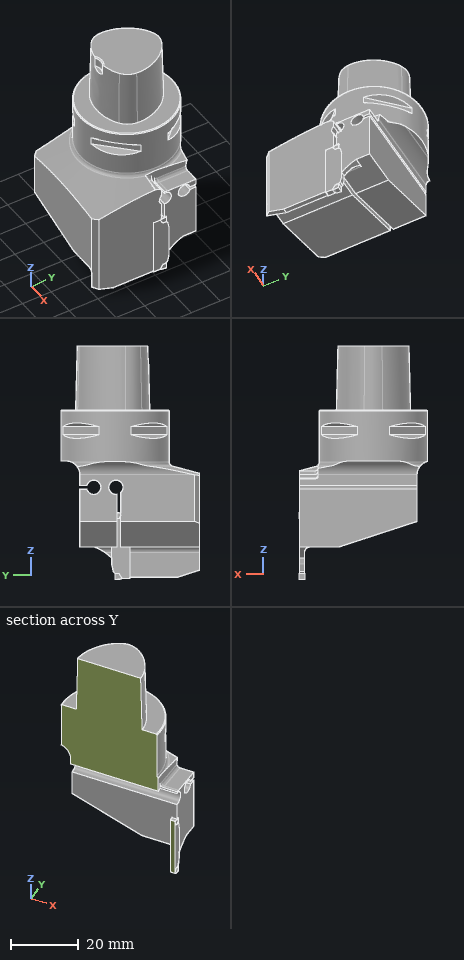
import cadquery as cq
import math


shank_height = 19.0
shank_radius = 11.0
shank_lobe = 0.7
shank_taper = 1 / 40
lobe_half_angle = 24
points_per_stretch = 7
notch_radius = 3.8
notch_axis_y = -12.8
notch_depth = 3.4
notch_chamfer = 0.35

flange_radius = 32.0 / 2
flange_bottom = -15.05
flange_chamfer = 0.3
grip_floor_distance = 14.15
grip_floor_width = 2.35
grip_mouth_width = 4.55
grip_center = -6.1

head_left = -12.9
head_right = 21.9
head_front = -25.0
head_back = 10.4
head_bottom = -40.4
head_chamfer = 1.5
bevel_left = -32.85
bevel_end_x = 10.3
flare_radius = 4.0
roof_angle = 15
roof_apex = -11.95
head_reach = 34.5
neck_fillet = 1.2

blade_thickness = 1.6
blade_left = head_right - blade_thickness
blade_bottom = -49.35
blade_root_fillet = 1.5
blade_front_bottom = -47.2
blade_bevel_y = -18.4
blade_back_start = 5.9
blade_back_middle = (4.3, -41.2)
blade_back_end = -43.6

clamp_hole_radius = 2.1
clamp_hole_z = -22.8
back_hole_y = 6.3
front_hole_y = -0.3
slit_width = 1.05
slit_front = -1.65
slit_back = slit_front + slit_width

relief_left = 16.3
relief_floor = -20.3
relief_edge = -17.95
relief_front = -3.7
relief_foot = 0.5
relief_side_fillet = 1.0

insert_back = 1.05
insert_front = -4.35
insert_bottom = shank_height - 69
insert_length = 19.9
insert_middle = insert_bottom + insert_length / 2
rake_start = 4.6
rake_end = 2.4
tip_height = 1.85
body_end = 0.35
tip_end = 0.15
rake_end_y = 0.55
edge_y = 0.1
tip_side_y = -1.2
tip_front_y = -2.1
tip_end_y = -1.5
tip_overhang = 0.15


def box(x_range, y_range, z_range):
    """Axis-aligned box between two limits on each axis."""
    size = [high - low for low, high in (x_range, y_range, z_range)]
    return cq.Workplane("XY").box(*size, centered=False).translate((x_range[0], y_range[0], z_range[0]))


def shank_point(angle, radius):
    """Point of the three-lobed outline whose outward normal has this angle in degrees."""
    a = math.radians(angle)
    reach = radius + shank_lobe * math.cos(3 * (a - math.pi / 2))
    slope = -3 * shank_lobe * math.sin(3 * (a - math.pi / 2))
    return reach * math.cos(a) - slope * math.sin(a), reach * math.sin(a) + slope * math.cos(a)


def shank_outline(radius, z):
    """Closed wire of three lobes and three flanks."""
    edges = []
    for lobe in (90, 210, 330):
        limits = (lobe - lobe_half_angle, lobe + lobe_half_angle, lobe + 120 - lobe_half_angle)
        for start, end in zip(limits, limits[1:]):
            step = (end - start) / (points_per_stretch - 1)
            angles = [start + i * step for i in range(points_per_stretch)]
            points = [cq.Vector(*shank_point(angle, radius), z) for angle in angles]
            tangents = [
                cq.Vector(-math.sin(math.radians(angle)), math.cos(math.radians(angle)))
                for angle in (start, end)
            ]
            edges.append(cq.Edge.makeSpline(points, tangents=tangents))
    return cq.Wire.assembleEdges(edges)


def make_shank():
    top_radius = shank_radius - shank_height * shank_taper
    outlines = [shank_outline(shank_radius, 0), shank_outline(top_radius, shank_height)]
    shank = cq.Workplane(cq.Solid.makeLoft(outlines, True))
    rim_z = shank_height - notch_depth
    notch = (
        cq.Workplane("XZ")
        .polyline([
            (0, rim_z - notch_radius),
            (notch_radius, rim_z),
            (notch_radius, shank_height - notch_chamfer),
            (notch_radius + notch_chamfer, shank_height),
            (0, shank_height),
        ])
        .close()
        .revolve(360, (0, 0), (0, 1))
        .translate((0, notch_axis_y, 0))
    )
    return shank.cut(notch)


def make_flange():
    flange = (
        cq.Workplane("XY")
        .workplane(offset=flange_bottom)
        .circle(flange_radius)
        .extrude(-flange_bottom)
        .faces(">Z")
        .chamfer(flange_chamfer)
    )
    groove = (
        cq.Workplane("XZ")
        .polyline([
            (grip_floor_distance, grip_center - grip_floor_width / 2),
            (flange_radius, grip_center - grip_mouth_width / 2),
            (flange_radius, grip_center + grip_mouth_width / 2),
            (grip_floor_distance, grip_center + grip_floor_width / 2),
        ])
        .close()
        .extrude(flange_radius, both=True)
    )
    for angle in (45, 135, 225, 315):
        flange = flange.cut(groove.rotate((0, 0, 0), (0, 0, 1), angle))
    return flange


def make_head_block():
    """Head with its blade: the outline across X crossed with the outline across Y."""
    flare_end = flange_bottom - flare_radius
    flare_middle = flare_radius * (1 - math.sqrt(0.5))
    root_x = blade_left - blade_root_fillet
    root_z = head_bottom - blade_root_fillet
    root_middle = blade_root_fillet * math.sqrt(0.5)
    across_x = (
        cq.Workplane("XZ")
        .moveTo(head_left - flare_radius, flange_bottom)
        .lineTo(head_right, flange_bottom)
        .lineTo(head_right, blade_bottom)
        .lineTo(blade_left, blade_bottom)
        .lineTo(blade_left, root_z)
        .threePointArc((root_x + root_middle, root_z + root_middle), (root_x, head_bottom))
        .lineTo(bevel_end_x, head_bottom)
        .lineTo(head_left, bevel_left)
        .lineTo(head_left, flare_end)
        .threePointArc(
            (head_left - flare_middle, flange_bottom - flare_middle),
            (head_left - flare_radius, flange_bottom),
        )
        .close()
        .extrude(head_reach, both=True)
    )
    across_y = (
        cq.Workplane("YZ")
        .moveTo(head_back + flare_radius, flange_bottom)
        .threePointArc((head_back + flare_middle, flange_bottom - flare_middle), (head_back, flare_end))
        .lineTo(head_back, head_bottom)
        .lineTo(blade_back_start, head_bottom)
        .threePointArc(blade_back_middle, (insert_back, blade_back_end))
        .lineTo(insert_front, blade_back_end)
        .lineTo(insert_front, blade_bottom)
        .lineTo(blade_bevel_y, blade_bottom)
        .lineTo(head_front, blade_front_bottom)
        .lineTo(head_front, flange_bottom)
        .close()
        .extrude(head_reach, both=True)
    )
    return across_x.intersect(across_y)


def make_roof_envelope():
    """Space below the conical roof, with the fillet that runs up to the flange."""
    slope = math.tan(math.radians(roof_angle))
    tilt = math.radians(roof_angle)
    neck_corner_z = roof_apex - flange_radius * slope
    fillet_reach = neck_fillet * math.tan((math.pi / 2 - tilt) / 2)
    fillet_end = (
        flange_radius + fillet_reach * math.cos(tilt),
        neck_corner_z - fillet_reach * math.sin(tilt),
    )
    center = (flange_radius + neck_fillet, neck_corner_z + fillet_reach)
    middle_angle = (math.pi + 1.5 * math.pi - tilt) / 2
    fillet_middle = (
        center[0] + neck_fillet * math.cos(middle_angle),
        center[1] + neck_fillet * math.sin(middle_angle),
    )
    return (
        cq.Workplane("XZ")
        .moveTo(0, insert_bottom)
        .lineTo(head_reach, insert_bottom)
        .lineTo(head_reach, roof_apex - head_reach * slope)
        .lineTo(*fillet_end)
        .threePointArc(fillet_middle, (flange_radius, center[1]))
        .lineTo(flange_radius, flange_bottom)
        .lineTo(0, flange_bottom)
        .close()
        .revolve(360, (0, 0), (0, 1))
    )


def make_corner_chamfers():
    """Wedges that bevel the two upright front corners."""
    wedges = cq.Workplane("XY").workplane(offset=insert_bottom)
    for corner_x, inward in ((head_left, 1), (head_right, -1)):
        wedges = (
            wedges.moveTo(corner_x, head_front)
            .lineTo(corner_x + inward * head_chamfer, head_front)
            .lineTo(corner_x, head_front + head_chamfer)
            .close()
        )
    return wedges.extrude(flange_bottom - insert_bottom)


def make_jaw_relief():
    """Recess above the clamping jaw, whose front wall is an S of two equal arcs."""
    wall_middle = ((relief_front + relief_foot) / 2, (relief_edge + relief_floor) / 2)
    relief = (
        cq.Workplane("YZ")
        .moveTo(head_reach, flange_bottom)
        .lineTo(head_reach, relief_floor)
        .lineTo(relief_foot, relief_floor)
        .tangentArcPoint(wall_middle, relative=False)
        .tangentArcPoint((relief_front, relief_edge), relative=False)
        .lineTo(relief_front, flange_bottom)
        .close()
        .extrude(head_reach - relief_left)
        .translate((relief_left, 0, 0))
    )
    return relief.edges(cq.selectors.BoxSelector(
        (relief_left - 0.1, head_back, relief_floor - 0.1),
        (relief_left + 0.1, head_reach, relief_floor + 0.1),
    )).fillet(relief_side_fillet)


def make_clamp_cuts():
    """Two cross holes, the slit behind them and the slit that frees the jaw."""
    holes = (
        cq.Workplane("YZ")
        .pushPoints([(back_hole_y, clamp_hole_z), (front_hole_y, clamp_hole_z)])
        .circle(clamp_hole_radius)
        .extrude(head_reach, both=True)
    )
    whole_width = (-head_reach, head_reach)
    level_slit = box(
        whole_width,
        (back_hole_y, head_reach),
        (clamp_hole_z - slit_width / 2, clamp_hole_z + slit_width / 2),
    )
    upright_slit = box(whole_width, (slit_front, slit_back), (blade_back_end, clamp_hole_z))
    slit_mouth = box((relief_left, head_reach), (slit_front, slit_back), (clamp_hole_z, flange_bottom))
    return holes.union(level_slit).union(upright_slit).union(slit_mouth)


def make_insert_clearance():
    """Gap in the fillet at the blade's root, beside the insert."""
    return box(
        (blade_left - blade_root_fillet, blade_left),
        (insert_front, insert_back),
        (blade_back_end, head_bottom),
    )


def make_insert():
    tip = (
        cq.Workplane("YZ")
        .polyline([
            (edge_y, insert_bottom),
            (edge_y, insert_bottom + tip_height),
            (tip_side_y, insert_bottom + tip_height),
            (tip_front_y, insert_bottom + body_end),
            (tip_end_y, insert_bottom + tip_end),
        ])
        .close()
        .extrude(blade_thickness + 2 * tip_overhang)
        .translate((blade_left - tip_overhang, 0, 0))
    )
    side_relief = (
        cq.Workplane("XY")
        .workplane(offset=insert_bottom)
        .polyline([
            (blade_left - tip_overhang, edge_y),
            (head_right + tip_overhang, edge_y),
            (head_right, tip_front_y),
            (blade_left, tip_front_y),
        ])
        .close()
        .extrude(tip_height)
    )
    half = (
        cq.Workplane("YZ")
        .polyline([
            (insert_back, insert_middle),
            (insert_back, insert_bottom + rake_start),
            (rake_end_y, insert_bottom + rake_end),
            (edge_y, insert_bottom + tip_height),
            (edge_y, insert_bottom + body_end),
            (insert_front, insert_bottom + body_end),
            (insert_front, insert_middle),
        ])
        .close()
        .extrude(blade_thickness)
        .translate((blade_left, 0, 0))
        .union(tip.intersect(side_relief))
    )
    return half.union(half.mirror("XY", (0, 0, insert_middle)))


insert = make_insert()
holder = (
    make_head_block()
    .intersect(make_roof_envelope())
    .cut(make_corner_chamfers())
    .cut(make_jaw_relief())
    .cut(make_clamp_cuts())
    .cut(make_insert_clearance())
    .cut(insert)
    .union(make_flange())
    .union(make_shank())
)

result = cq.Compound.makeCompound([holder.solids().val(), insert.solids().val()])